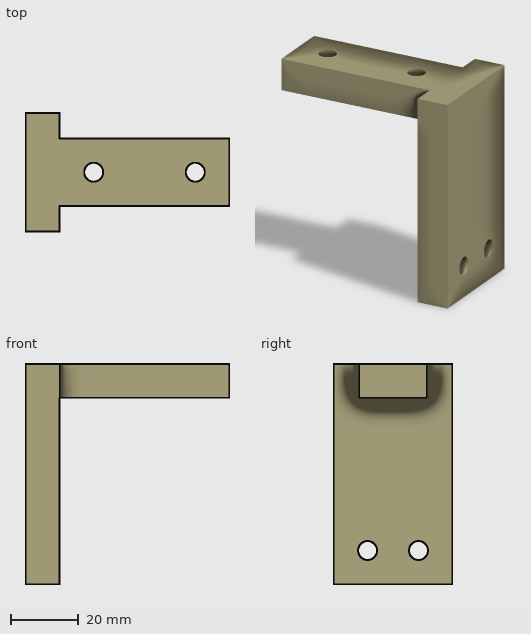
import cadquery as cq

height = 65.0
total_length = 60.0
plate_width = 35.0
thickness = 10.0
arm_width = 20.0
hole_diameter = 5.5

arm_hole_inset = thickness
arm_hole_places = [thickness + arm_hole_inset, total_length - arm_hole_inset]
plate_hole_spacing = 15.0
plate_hole_height = 10.0


def make_plate():
    """Upright plate with its outer face at X = 0 and its foot at Z = 0."""
    return cq.Workplane("XY").box(thickness, plate_width, height, centered=(False, True, False))


def make_arm():
    """Horizontal arm, flush with the top of the plate."""
    return (
        cq.Workplane("XY", origin=(0, 0, height - thickness))
        .box(total_length, arm_width, thickness, centered=(False, True, False))
    )


def make_arm_holes():
    """Vertical through holes along the arm's centre line."""
    return (
        cq.Workplane("XY", origin=(0, 0, height - thickness))
        .pushPoints([(x, 0) for x in arm_hole_places])
        .circle(hole_diameter / 2)
        .extrude(thickness)
    )


def make_plate_holes():
    """Pair of through holes near the foot of the plate."""
    return (
        cq.Workplane("YZ")
        .pushPoints([(side * plate_hole_spacing / 2, plate_hole_height) for side in (-1, 1)])
        .circle(hole_diameter / 2)
        .extrude(thickness)
    )


result = make_plate().union(make_arm()).cut(make_arm_holes()).cut(make_plate_holes())